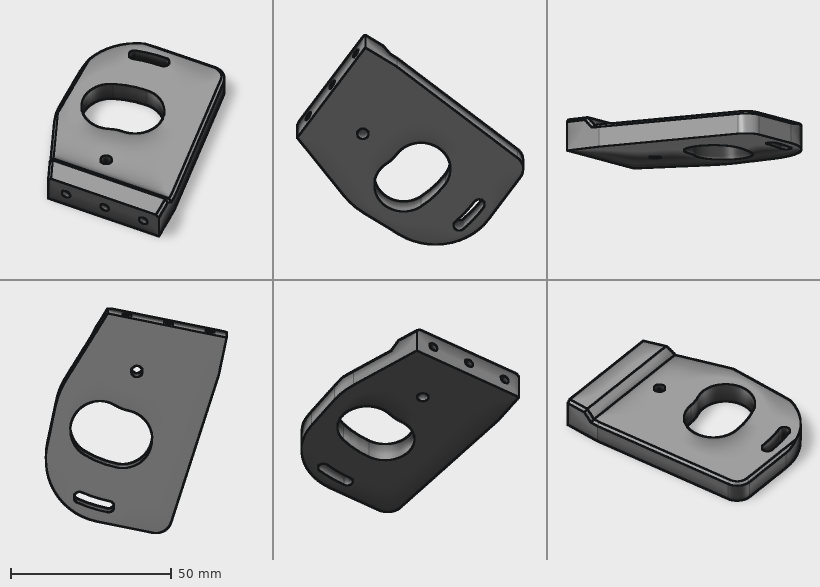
import cadquery as cq
import math

length = 65.4
width = 47.9
plate_height = 7.25
block_height = 10.0
block_depth = 7.1
edge_chamfer = 1.0

foot_left = 10.0
left_taper = 20.0
right_taper = 6.0
right_straight = 12.0
left_corner_y = foot_left / math.tan(math.radians(left_taper))
top_right_x = width - (length - right_straight) * math.tan(math.radians(right_taper))
large_corner_radius = 20.0
small_corner_radius = 5.05
left_blend_radius = 25.0

pivot_x = 22.6
pivot_y = 16.2
pivot_diameter = 3.5
guide_radius = 43.8
guide_width = 3.5
guide_sweep = 12.5
opening_radius = 21.9
opening_width = 18.4
opening_sweep = 20.3

front_hole_diameter = 2.9
front_hole_depth = 10.0
front_hole_spacing = 13.2
front_hole_middle_x = 29.35
front_hole_z = block_height / 2

tolerance = 0.005


def round_corner(prism, x, y, radius):
    """Fillet the upright edge at the given corner of a full-height prism."""
    corner = cq.selectors.NearestToPointSelector((x, y, block_height / 2))
    return prism.edges(corner).fillet(radius)


def sharp_outline_prism():
    """Full-height outline with only the small top right corner rounded."""
    outline = [
        (foot_left, 0),
        (width, 0),
        (width, right_straight),
        (top_right_x, length),
        (0, length),
        (0, left_corner_y),
    ]
    prism = cq.Workplane("XY").polyline(outline).close().extrude(block_height)
    return round_corner(prism, top_right_x, length, small_corner_radius)


def stepped_profile():
    """Side profile: raised front block with a 45 degree ramp down to the plate."""
    ramp_end = block_depth + block_height - plate_height
    profile = [
        (0, 0),
        (length, 0),
        (length, plate_height),
        (ramp_end, plate_height),
        (block_depth, block_height),
        (0, block_height),
    ]
    return cq.Workplane("YZ").polyline(profile).close().extrude(width)


def is_chamfered(edge):
    """True for the upper rim, apart from the front edge and the two ramp lines."""
    box = edge.BoundingBox()
    on_top = box.zmin > plate_height - tolerance
    across = box.ylen < tolerance and box.ymax < length - tolerance
    return on_top and not across


def curved_slot(radius, slot_width, sweep):
    """Cutter for a round-ended slot running anticlockwise from straight above the pivot."""

    def polar(distance, angle):
        turn = math.radians(angle)
        return (pivot_x - distance * math.sin(turn), pivot_y + distance * math.cos(turn))

    inner = radius - slot_width / 2
    outer = radius + slot_width / 2
    cap = slot_width / 2
    sweep_turn = math.radians(sweep)
    end_x, end_y = polar(radius, sweep)
    end_tip = (end_x - cap * math.cos(sweep_turn), end_y - cap * math.sin(sweep_turn))
    start_tip = (pivot_x + cap, pivot_y + radius)
    return (
        cq.Workplane("XY")
        .moveTo(*polar(inner, 0))
        .threePointArc(polar(inner, sweep / 2), polar(inner, sweep))
        .threePointArc(end_tip, polar(outer, sweep))
        .threePointArc(polar(outer, sweep / 2), polar(outer, 0))
        .threePointArc(start_tip, polar(inner, 0))
        .close()
        .extrude(block_height)
    )


sharp_prism = sharp_outline_prism()
body = sharp_prism.intersect(stepped_profile())
rim = body.edges().filter(is_chamfered)
body = rim.chamfer(edge_chamfer)

rounded_prism = round_corner(sharp_prism, 0, length, large_corner_radius)
rounded_prism = round_corner(rounded_prism, 0, left_corner_y, left_blend_radius)
body = body.intersect(rounded_prism)

pivot_hole = cq.Workplane("XY").center(pivot_x, pivot_y).circle(pivot_diameter / 2).extrude(block_height)
body = body.cut(pivot_hole)
body = body.cut(curved_slot(guide_radius, guide_width, guide_sweep))
body = body.cut(curved_slot(opening_radius, opening_width, opening_sweep))

front_holes = (
    cq.Workplane("XZ")
    .pushPoints([(front_hole_middle_x + i * front_hole_spacing, front_hole_z) for i in (-1, 0, 1)])
    .circle(front_hole_diameter / 2)
    .extrude(-front_hole_depth)
)
result = body.cut(front_holes)